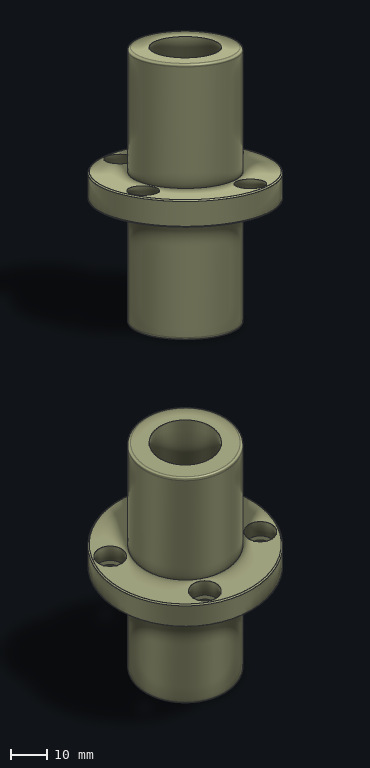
import cadquery as cq

SLEEVE_DIAMETER = 32.0
SLEEVE_LENGTH = 80.0
BORE_DIAMETER = 20.0
SLEEVE_EDGE_FILLET = 0.8

FLANGE_DIAMETER = 54.0
FLANGE_THICKNESS = 8.0
FLANGE_EDGE_CHAMFER = 0.4
FLANGE_TOP = FLANGE_THICKNESS / 2

BOLT_CIRCLE_DIAMETER = 43.0
BOLT_COUNT = 4
BOLT_HOLE_DIAMETER = 5.5
COUNTERBORE_DIAMETER = 9.0
COUNTERBORE_DEPTH = 5.1


def centred_disc(diameter, height):
    """Disc on the Z axis, centred on the origin."""
    return cq.Workplane("XY").cylinder(height, diameter / 2)


def make_flange():
    """Flange disc with both rims chamfered."""
    disc = centred_disc(FLANGE_DIAMETER, FLANGE_THICKNESS)
    return disc.faces("|Z").edges().chamfer(FLANGE_EDGE_CHAMFER)


def make_sleeve():
    """Solid sleeve with both end rims rounded."""
    disc = centred_disc(SLEEVE_DIAMETER, SLEEVE_LENGTH)
    return disc.faces("|Z").edges().fillet(SLEEVE_EDGE_FILLET)


def cut_bolt_holes(body):
    """Drill the ring of holes from the top face of the flange."""
    return (
        body.copyWorkplane(cq.Workplane("XY", origin=(0, 0, FLANGE_TOP)))
        .polarArray(BOLT_CIRCLE_DIAMETER / 2, 0, 360, BOLT_COUNT)
        .cboreHole(BOLT_HOLE_DIAMETER, COUNTERBORE_DIAMETER, COUNTERBORE_DEPTH, FLANGE_THICKNESS)
    )


def cut_bore(body):
    """Open the sleeve from end to end."""
    return body.cut(centred_disc(BORE_DIAMETER, SLEEVE_LENGTH))


flange = cut_bolt_holes(make_flange())
result = cut_bore(flange.union(make_sleeve()))